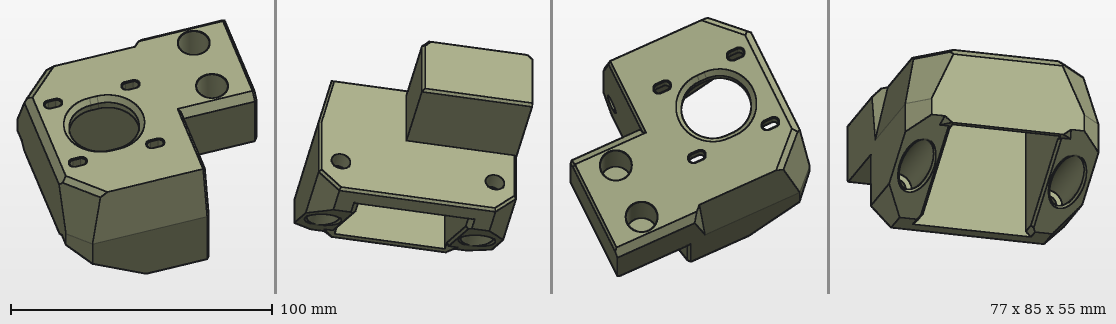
import cadquery as cq
import math


WIDTH = 77.0
LENGTH = 85.0
HEIGHT = 55.0
HOUSING_LENGTH = 55.0
ARM_WIDTH = 43.0
ARM_THICKNESS = 26.0

POCKET_WIDTH = 43.0
POCKET_FRONT = 2.0
POCKET_BACK = 48.0
TOP_PLATE = 5.0
FRONT_WALL_HEIGHT = 31.0

MOTOR_Y = (POCKET_FRONT + POCKET_BACK) / 2
BOSS_DIAMETER = 24.0
BOSS_CHAMFER = 2.0
MOTOR_SCREW_PITCH = 31.0
MOTOR_SCREW_DIAMETER = 3.4
MOTOR_SCREW_CHAMFER = 0.4
TENSION_TRAVEL = 3.0

HEAD_DIAMETER = 12.0
BOLT_DIAMETER = 7.3
BOLT_FLOOR = HOUSING_LENGTH - POCKET_BACK
LEG_BOLT_INSET = 8.5
LEG_BOLT_HEIGHT = 14.0
ARM_BOLT_INSET = 10.0
ARM_BOLT_FROM_BACK = 15.0
MOUTH_CHAMFER = 0.2

TAPER_HEIGHT = 22.0
TAPER_INSET = 5.0
TAPER_LEFT_END = 48.0
CORNER_CUT = 8.1
CORNER_TAPER = 2 * TAPER_INSET
CORNER_TOP_CHAMFER = 1.8

SLOPE_FRONT_HEIGHT = 26.35
SLOPE_BACK = 42.6
WALL_END_INSET = 16.3
WALL_END_TOP_INSET = 13.35

RIM_TOP_WIDTH = 0.2
RIM_LOW_WIDTH = 1.5
RIM_TOP_DEPTH = 0.25
RIM_LOW_DEPTH = 3.6

FOOT_CHAMFER = 8.1
TOP_CHAMFER = 3.0
EDGE_CHAMFER = 1.0
LEG_INNER_CHAMFER = 2.0

SIDE = WIDTH / 2
BIG = 3 * LENGTH
TAPER_START = HEIGHT - TAPER_HEIGHT
FRONT_WALL_BOTTOM = HEIGHT - FRONT_WALL_HEIGHT


def half_space(point, outward):
    """A block large enough to remove everything beyond a plane."""
    return cq.Workplane(cq.Plane(origin=point, normal=outward)).rect(BIG, BIG).extrude(BIG)


def side_taper(side):
    """Everything outside the leaning upper side; side is -1 for left and 1 for right."""
    return half_space((side * SIDE, 0, TAPER_START), (side * TAPER_HEIGHT, 0, TAPER_INSET))


def cut_front_corner(body, side):
    """Cut one front corner: upright below, leaning above, with a chamfer along the top."""
    lean = math.atan2(CORNER_TAPER / math.sqrt(2), TAPER_HEIGHT)
    chamfer_tilt = (math.pi / 2 + lean) / 2
    chamfer_drop = CORNER_TOP_CHAMFER * math.cos(lean)
    chamfer_reach = CORNER_CUT + CORNER_TAPER * (1 - chamfer_drop / TAPER_HEIGHT)
    for reach, level, tilt in (
        (CORNER_CUT, TAPER_START, 0),
        (CORNER_CUT, TAPER_START, lean),
        (chamfer_reach, HEIGHT - chamfer_drop, chamfer_tilt),
    ):
        flat = math.cos(tilt) / math.sqrt(2)
        body = body.cut(half_space((side * SIDE, reach, level), (side * flat, -flat, math.sin(tilt))))
    return body


def make_housing():
    housing = cq.Workplane("XY").box(WIDTH, HOUSING_LENGTH, HEIGHT, centered=(True, False, False))
    housing = housing.edges("|Y and <Z").chamfer(FOOT_CHAMFER)
    housing = housing.cut(side_taper(1))
    return housing.faces(">Y").edges().chamfer(EDGE_CHAMFER)


def make_arm():
    start = HOUSING_LENGTH - EDGE_CHAMFER
    arm = (
        cq.Workplane("XY")
        .box(ARM_WIDTH, LENGTH - start, ARM_THICKNESS, centered=False)
        .translate((-SIDE, start, HEIGHT - ARM_THICKNESS))
    )
    arm = arm.edges("|Y and >X and >Z").chamfer(TOP_CHAMFER)
    return arm.faces(">Y").edges("not <X").chamfer(EDGE_CHAMFER)


def leg_slope():
    """The space below the sloping leg undersides, less the lower part of the front wall."""
    slope = half_space((0, 0, SLOPE_FRONT_HEIGHT), (0, -SLOPE_FRONT_HEIGHT, -SLOPE_BACK))
    front_wall = half_space((0, 0, FRONT_WALL_BOTTOM), (0, 0, 1))
    end_rise = (WALL_END_INSET - WALL_END_TOP_INSET) / (SLOPE_FRONT_HEIGHT - FRONT_WALL_BOTTOM)
    for side in (-1, 1):
        corner = (side * (SIDE - WALL_END_INSET), 0, FRONT_WALL_BOTTOM)
        front_wall = front_wall.cut(half_space(corner, (side, -1, -end_rise)))
    return slope.cut(front_wall)


def motor_pocket():
    return (
        cq.Workplane("XY")
        .box(POCKET_WIDTH, POCKET_BACK - POCKET_FRONT, HEIGHT - TOP_PLATE, centered=(True, False, False))
        .translate((0, POCKET_FRONT, 0))
    )


def slotted_hole(x, y, diameter, chamfer):
    """A slot along Y through the top plate, flared at the top."""

    def slot(width):
        plane = cq.Workplane("XY", origin=(x, y, HEIGHT))
        return plane.slot2D(width + TENSION_TRAVEL, width, 90)

    flare = slot(diameter + 2 * chamfer).extrude(-chamfer, taper=45)
    return slot(diameter).extrude(-2 * TOP_PLATE).union(flare)


def chamfer_leg_inner_edges(body):
    """Break the edges of each leg along the pocket: the short level one, then the sloping one."""
    slope_middle = (SLOPE_BACK / 2, SLOPE_FRONT_HEIGHT / 2)
    level_middle = ((SLOPE_BACK + POCKET_BACK) / 2, 0)
    for (y, z), size in ((level_middle, LEG_INNER_CHAMFER), (slope_middle, EDGE_CHAMFER)):
        for side in (-1, 1):
            edge = cq.selectors.NearestToPointSelector((side * POCKET_WIDTH / 2, y, z))
            body = body.edges(edge).chamfer(size)
    return body


def oblique_ring(side, radius, drop, y, run):
    """A ring that is round along Y and lies on a plane moving back by `run` per unit of descent."""
    plane = cq.Plane(
        origin=(side * (SIDE - LEG_BOLT_INSET), y, LEG_BOLT_HEIGHT - drop),
        xDir=(1, 0, 0),
        normal=(0, -1, -run),
    )
    return cq.Workplane(plane).ellipse(radius, radius * math.hypot(1, run)).wire().val()


def leg_pocket_rim(side):
    """A flare from the bolt head pocket to a wider ring on the sloping underside."""
    slope_run = SLOPE_BACK / SLOPE_FRONT_HEIGHT
    rim_drop = (RIM_LOW_WIDTH - RIM_TOP_WIDTH) / 2
    rim_radius = (HEAD_DIAMETER + RIM_LOW_WIDTH + RIM_TOP_WIDTH) / 2
    rim_y = slope_run * (SLOPE_FRONT_HEIGHT - LEG_BOLT_HEIGHT + rim_drop)
    seat_y = slope_run * (SLOPE_FRONT_HEIGHT - LEG_BOLT_HEIGHT) + (RIM_TOP_DEPTH + RIM_LOW_DEPTH) / 2
    seat_run = slope_run + (RIM_LOW_DEPTH - RIM_TOP_DEPTH) / HEAD_DIAMETER
    rim = oblique_ring(side, rim_radius, rim_drop, rim_y, slope_run)
    seat = oblique_ring(side, HEAD_DIAMETER / 2, 0, seat_y, seat_run)
    return cq.Workplane(cq.Solid.makeLoft([rim, seat], True))


def leg_head_pocket(side):
    bolt = cq.Workplane("XZ", origin=(side * (SIDE - LEG_BOLT_INSET), 0, LEG_BOLT_HEIGHT))
    return bolt.circle(HEAD_DIAMETER / 2).extrude(-POCKET_BACK)


def leg_bolt_hole(side):
    bolt = cq.Workplane("XZ", origin=(side * (SIDE - LEG_BOLT_INSET), 0, LEG_BOLT_HEIGHT))
    return bolt.circle(BOLT_DIAMETER / 2).extrude(-HOUSING_LENGTH)


def arm_head_pocket(x):
    mouth = cq.Workplane("XY", origin=(x, LENGTH - ARM_BOLT_FROM_BACK, HEIGHT))
    pocket = mouth.circle(HEAD_DIAMETER / 2).extrude(BOLT_FLOOR - ARM_THICKNESS)
    flare = mouth.circle(HEAD_DIAMETER / 2 + MOUTH_CHAMFER).extrude(-MOUTH_CHAMFER, taper=45)
    return pocket.union(flare)


body = make_housing().union(make_arm())
body = body.cut(half_space((-SIDE, 0, HEIGHT - TOP_CHAMFER), (-1, 0, 1)))
left_end = half_space((-SIDE, TAPER_LEFT_END, TAPER_START), (-TAPER_HEIGHT, -TAPER_HEIGHT, TAPER_INSET))
body = body.cut(side_taper(-1).intersect(left_end))
body = body.cut(half_space((0, 0, HEIGHT - TOP_CHAMFER), (0, -1, 1)))
for side in (-1, 1):
    body = cut_front_corner(body, side)

body = body.cut(leg_slope()).cut(motor_pocket())
body = chamfer_leg_inner_edges(body)
for side in (-1, 1):
    body = body.cut(leg_head_pocket(side)).cut(leg_pocket_rim(side))

body = body.cut(slotted_hole(0, MOTOR_Y, BOSS_DIAMETER, BOSS_CHAMFER))
for x_side in (-1, 1):
    for y_side in (-1, 1):
        x = x_side * MOTOR_SCREW_PITCH / 2
        y = MOTOR_Y + y_side * MOTOR_SCREW_PITCH / 2
        body = body.cut(slotted_hole(x, y, MOTOR_SCREW_DIAMETER, MOTOR_SCREW_CHAMFER))

for x in (ARM_BOLT_INSET - SIDE, ARM_WIDTH - ARM_BOLT_INSET - SIDE):
    body = body.cut(arm_head_pocket(x))
for side in (-1, 1):
    body = body.cut(leg_bolt_hole(side))

result = body